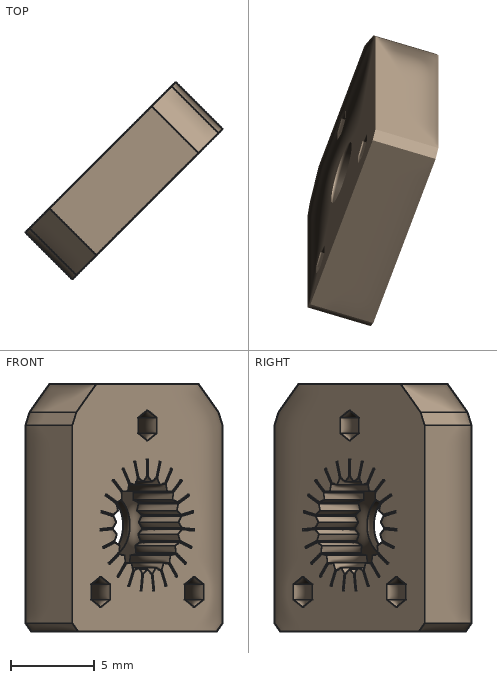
import cadquery as cq
import math

height = 14.9
width = 12.8
thickness = 4.0
bottom_chamfer = 0.5
side_taper_inset = 0.36
side_taper_drop = 2.5
top_chamfer = 1.7

socket_z = 6.39
lip = 0.6
socket_depth = thickness - lip
tooth_count = 23
tip_radius = 2.65
root_radius = 2.98
slit_radius = 3.98
slit_width = 0.1
through_radius = 1.9

hex_across_flats = 1.6
hex_across_corners = hex_across_flats / math.cos(math.pi / 6)
upper_hole_z = 12.4
lower_hole_z = 2.38
lower_hole_spacing = 7.95

plate_normal = cq.Vector(1, -1, 0).normalized()
front_face = cq.Workplane(
    cq.Plane(origin=plate_normal * (thickness / 2), xDir=(1, 1, 0), normal=plate_normal)
)
socket_axis = front_face.center(0, socket_z)


def polar_point(radius, angle):
    return radius * math.cos(angle), radius * math.sin(angle)


def make_plate():
    half = width / 2
    shoulder = half - side_taper_inset
    right_side = [
        (half - bottom_chamfer, 0),
        (half, bottom_chamfer),
        (half, height - side_taper_drop),
        (shoulder, height - top_chamfer),
        (shoulder - top_chamfer, height),
    ]
    left_side = [(-x, y) for x, y in reversed(right_side)]
    return front_face.polyline(right_side + left_side).close().extrude(-thickness)


def make_socket():
    """Serrated bore with a thin slit running outward from every groove."""
    pitch = 2 * math.pi / tooth_count
    outline = []
    groove_angles = []
    for index in range(tooth_count):
        groove_angle = math.pi / 2 + index * pitch
        outline.append(polar_point(root_radius, groove_angle))
        outline.append(polar_point(tip_radius, groove_angle + pitch / 2))
        groove_angles.append(groove_angle)
    socket = socket_axis.polyline(outline).close().extrude(-socket_depth)

    slit_length = slit_radius - tip_radius
    slit_middle = (slit_radius + tip_radius) / 2
    for angle in groove_angles:
        slit = (
            socket_axis.center(*polar_point(slit_middle, angle))
            .transformed(rotate=(0, 0, math.degrees(angle)))
            .rect(slit_length, slit_width)
            .extrude(-socket_depth)
        )
        socket = socket.union(slit)
    return socket


def make_through_hole():
    return socket_axis.circle(through_radius).extrude(-thickness)


def make_hex_hole(x, z):
    return (
        front_face.center(x, z)
        .transformed(rotate=(0, 0, 90))
        .polygon(6, hex_across_corners)
        .extrude(-thickness)
    )


result = make_plate().cut(make_socket()).cut(make_through_hole())
hole_places = [
    (0, upper_hole_z),
    (-lower_hole_spacing / 2, lower_hole_z),
    (lower_hole_spacing / 2, lower_hole_z),
]
for hole_x, hole_z in hole_places:
    result = result.cut(make_hex_hole(hole_x, hole_z))